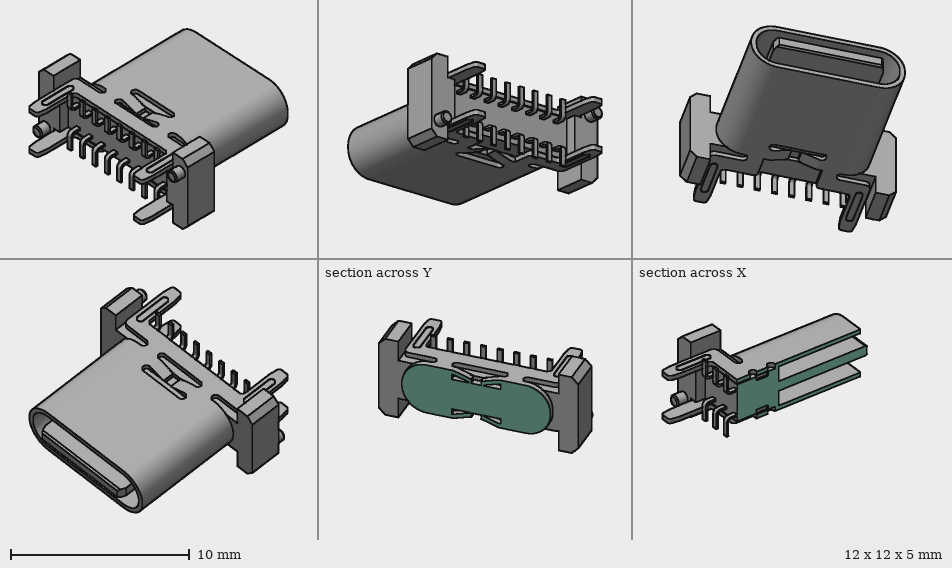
import cadquery as cq


housing_width = 12.0
housing_height = 5.0
housing_depth = 2.09
end_block_width = 1.19
end_block_chamfer = 0.4
bridge_height = 2.5
recess_width = 8.66
recess_depth = 0.67

peg_x = 5.44
peg_z = 1.5
peg_radius = 0.37
peg_length = 0.71
peg_chamfer = 0.08

shell_width = 8.95
shell_height = 3.18
shell_corner_radius = 1.52
shell_end_y = 9.28
sheet_thickness = 0.3
cavity_floor_y = 3.6

strap_width = 9.37
strap_front_y = 1.61
strap_rear_y = 0.65
strap_corner_radius = 0.32
neck_gap_x = 2.62
leg_width = 0.92
leg_tip_y = -2.21
leg_taper_y = -1.51
leg_tip_inset = 0.1
leg_tip_radius = 0.19
leg_root_radius = 0.24
groove_front_y = 0.92
groove_rear_y = -1.4
groove_width = 0.42
groove_depth = 0.05

slot_length = 3.29
front_slot_end_y = 3.31
tab_front_y = 2.83
tab_rear_y = 2.05
front_slot_corner_radius = 0.23
rear_slot_corner_radius = 0.19
tab_bend_start_x = 1.46
tab_bend_end_x = 1.28
tab_tip_x = 0.29
tab_slope = 0.31
tab_corner_radius = 0.08
notch_width = 3.41
notch_corner_radius = 0.24

tongue_base_width = 6.41
tongue_shoulder_width = 6.15
tongue_tip_width = 5.95
tongue_thickness = 0.67
tongue_tip_y = 9.75
tongue_shoulder_length = 0.15
tongue_edge_bevel = 0.07

pins_per_row = 8
pin_row_length = 7.0
pin_width = 0.3
pin_thickness = 0.15
pin_root_z = 0.77
pin_tip_z = 1.99
pin_back_y = -0.05
pin_bend_radius = 0.3

pin_pitch = pin_row_length / (pins_per_row - 1)
sheet_outer_z = shell_height / 2
sheet_inner_z = sheet_outer_z - sheet_thickness


def box(x_range, y_range, z_range):
    sizes = [end - start for start, end in (x_range, y_range, z_range)]
    corner = (x_range[0], y_range[0], z_range[0])
    return cq.Workplane("XY").box(*sizes, centered=False).translate(corner)


def centered_box(width, y_range, height):
    return box((-width / 2, width / 2), y_range, (-height / 2, height / 2))


def both_sides(solid):
    """The solid together with its mirror image across the YZ plane."""
    return solid.union(solid.mirror("YZ"))


def both_faces(solid):
    """The solid together with its mirror image across the XY plane."""
    return solid.union(solid.mirror("XY"))


def make_housing():
    bridge = centered_box(housing_width - end_block_width, (0, housing_depth), bridge_height)
    bridge = bridge.cut(centered_box(recess_width, (0, recess_depth), bridge_height))
    half_width = housing_width / 2
    half_height = housing_height / 2
    block = box(
        (half_width - end_block_width, half_width), (0, housing_depth), (-half_height, half_height)
    )
    block = block.edges("|Y and >X").chamfer(end_block_chamfer)
    return bridge.union(both_sides(block))


def make_peg():
    peg = cq.Workplane("XZ", origin=(peg_x, 0, peg_z)).circle(peg_radius).extrude(peg_length)
    return peg.faces("<Y").chamfer(peg_chamfer)


def make_shell():
    shell = centered_box(shell_width, (housing_depth, shell_end_y), shell_height)
    shell = shell.edges("|Y").fillet(shell_corner_radius)
    cavity = centered_box(
        shell_width - 2 * sheet_thickness,
        (cavity_floor_y, shell_end_y),
        shell_height - 2 * sheet_thickness,
    )
    cavity = cavity.edges("|Y").fillet(shell_corner_radius - sheet_thickness)
    return shell.cut(cavity)


def make_tongue():
    shoulder_y = tongue_tip_y - tongue_shoulder_length
    right_side = [
        (tongue_base_width / 2, cavity_floor_y),
        (tongue_base_width / 2, shell_end_y),
        (tongue_shoulder_width / 2, shoulder_y),
        (tongue_tip_width / 2, tongue_tip_y),
    ]
    left_side = [(-x, y) for x, y in reversed(right_side)]
    tongue = cq.Workplane("XY").polyline(right_side + left_side).close()
    tongue = tongue.extrude(tongue_thickness / 2, both=True)
    return tongue.faces(">Y").edges("|X").chamfer(tongue_shoulder_length, tongue_edge_bevel)


def make_leg():
    outer_x = strap_width / 2
    inner_x = outer_x - leg_width
    outline = [
        (inner_x, strap_front_y),
        (outer_x, strap_front_y),
        (outer_x, leg_taper_y),
        (outer_x - leg_tip_inset, leg_tip_y),
        (inner_x + leg_tip_inset, leg_tip_y),
        (inner_x, leg_taper_y),
    ]
    leg = cq.Workplane("XY", origin=(0, 0, sheet_inner_z)).polyline(outline).close()
    leg = leg.extrude(sheet_thickness)
    leg = leg.edges("|Z and <Y").fillet(leg_tip_radius)
    leg = leg.edges("|Z and >Y and >X").fillet(strap_corner_radius)

    groove_center = ((inner_x + outer_x) / 2, (groove_front_y + groove_rear_y) / 2)
    groove = cq.Workplane("XY", origin=(*groove_center, sheet_outer_z - groove_depth))
    groove = groove.slot2D(groove_front_y - groove_rear_y, groove_width, 90).extrude(groove_depth)
    return leg.cut(groove)


def make_strap():
    sheet_z = (sheet_inner_z, sheet_outer_z)
    inner_leg_x = strap_width / 2 - leg_width
    gap_radius = (housing_depth - strap_front_y) / 2
    gap_center = (neck_gap_x + gap_radius, strap_front_y + gap_radius)

    crossbar = box((-inner_leg_x, inner_leg_x), (strap_rear_y, strap_front_y), sheet_z)
    neck = box((-gap_center[0], gap_center[0]), (strap_front_y, housing_depth), sheet_z)
    gap_end = cq.Workplane("XY", origin=(*gap_center, sheet_inner_z))
    gap_end = gap_end.circle(gap_radius).extrude(sheet_thickness)
    strap = crossbar.union(neck.cut(both_sides(gap_end))).union(both_sides(make_leg()))

    root_reach = leg_root_radius / 2
    root_corners = cq.selectors.BoxSelector(
        (-inner_leg_x - root_reach, strap_rear_y - root_reach, sheet_inner_z),
        (inner_leg_x + root_reach, strap_rear_y + root_reach, sheet_outer_z),
    )
    return strap.edges(root_corners).edges("|Z").fillet(leg_root_radius)


def make_window_cut():
    """Two slots through the sheet and, between them, a pocket that clears the bent tabs."""
    sheet_z = (sheet_inner_z, sheet_outer_z)
    half_slot = slot_length / 2
    front_slot = box((-half_slot, half_slot), (tab_front_y, front_slot_end_y), sheet_z)
    front_slot = front_slot.edges("|Z").fillet(front_slot_corner_radius)
    rear_slot = box((-half_slot, half_slot), (strap_front_y, tab_rear_y), sheet_z)
    rear_slot = rear_slot.edges("|Z").fillet(rear_slot_corner_radius)
    pocket = box(
        (-tab_bend_start_x, tab_bend_start_x),
        (tab_rear_y, tab_front_y),
        (sheet_inner_z - sheet_thickness, sheet_outer_z),
    )
    return front_slot.union(rear_slot).union(pocket)


def make_tab():
    """A strip of sheet that bends inward from the side of the window."""
    bend_drop = tab_slope * (tab_bend_start_x - tab_bend_end_x) / 2
    tip_drop = bend_drop + tab_slope * (tab_bend_end_x - tab_tip_x)
    bend_end_z = sheet_outer_z - bend_drop
    tip_z = sheet_outer_z - tip_drop
    bend_middle_x = (tab_bend_start_x + tab_bend_end_x) / 2
    bend_middle_z = sheet_outer_z - bend_drop / 4
    tab = (
        cq.Workplane("XZ", origin=(0, tab_rear_y, 0))
        .moveTo(tab_bend_start_x, sheet_outer_z)
        .threePointArc((bend_middle_x, bend_middle_z), (tab_bend_end_x, bend_end_z))
        .lineTo(tab_tip_x, tip_z)
        .lineTo(tab_tip_x, tip_z - sheet_thickness)
        .lineTo(tab_bend_end_x, bend_end_z - sheet_thickness)
        .threePointArc(
            (bend_middle_x, bend_middle_z - sheet_thickness), (tab_bend_start_x, sheet_inner_z)
        )
        .close()
        .extrude(tab_rear_y - tab_front_y)
    )
    return tab.edges("|Z and <X").fillet(tab_corner_radius)


def make_strap_notch():
    """Opening of the lower strap between its rear edge and the latch window."""
    half_width = notch_width / 2
    notch_z = (-sheet_outer_z, -sheet_inner_z)
    notch = box((-half_width, half_width), (strap_rear_y, tab_rear_y), notch_z)
    flare_x = half_width + notch_corner_radius
    flare_end_y = strap_rear_y + notch_corner_radius
    flare = box((half_width, flare_x), (strap_rear_y, flare_end_y), notch_z)
    rounding = cq.Workplane("XY", origin=(flare_x, flare_end_y, -sheet_outer_z))
    rounding = rounding.circle(notch_corner_radius).extrude(sheet_thickness)
    return notch.union(both_sides(flare.cut(rounding)))


def make_pin():
    """A contact that leaves the recess rearward and turns outward toward +Z."""
    inner_radius = pin_bend_radius - pin_thickness
    pin = (
        cq.Workplane("YZ")
        .moveTo(recess_depth, pin_root_z)
        .lineTo(pin_back_y + pin_bend_radius, pin_root_z)
        .tangentArcPoint((-pin_bend_radius, pin_bend_radius))
        .lineTo(pin_back_y, pin_tip_z)
        .lineTo(pin_back_y + pin_thickness, pin_tip_z)
        .lineTo(pin_back_y + pin_thickness, pin_root_z + pin_bend_radius)
        .tangentArcPoint((inner_radius, -inner_radius))
        .lineTo(recess_depth, pin_root_z + pin_thickness)
        .close()
    )
    return pin.extrude(pin_width / 2, both=True)


result = make_housing().union(make_shell()).union(make_tongue())
result = result.union(both_faces(make_strap()))
result = result.cut(both_faces(make_window_cut())).cut(make_strap_notch())
result = result.union(both_faces(both_sides(make_tab())))

upper_peg = make_peg()
result = result.union(upper_peg).union(upper_peg.rotate((0, 0, 0), (0, 1, 0), 180))

pin_pair = both_faces(make_pin())
for index in range(pins_per_row):
    pin_x = index * pin_pitch - pin_row_length / 2
    result = result.union(pin_pair.translate((pin_x, 0, 0)))